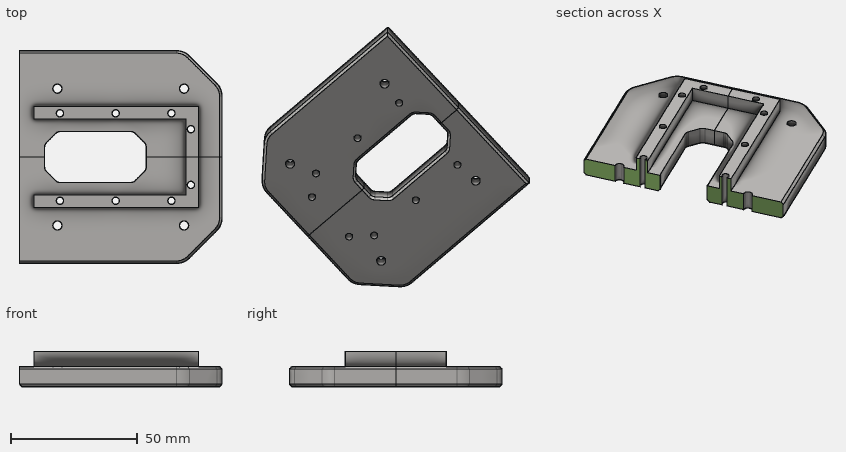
import cadquery as cq

plate_length = 80.0
plate_width = 84.0
plate_thickness = 8.0
corner_cut = 15.0
corner_radius = 7.0
edge_chamfer = 1.0

window_length = 40.0
window_width = 20.0
window_center_x = 30.0
window_corner_cut = 5.0
window_corner_radius = 2.5

rail_start_x = 5.7
rail_length = 65.0
rail_width = 40.0
rail_wall = 5.0
rail_height = 6.0

mount_hole_diameter = 3.5
mount_hole_xs = (15.0, 65.0)
mount_hole_y = 27.0

screw_hole_diameter = 2.75
screw_hole_pitch = 22.0
middle_screw_x = 38.0
arm_screw_y = 17.25
cross_screw_x = 67.7

total_height = plate_thickness + rail_height


def make_window():
    """Octagonal window cutter with softened corners."""
    return (
        cq.Workplane("XY")
        .center(window_center_x, 0)
        .rect(window_length, window_width)
        .extrude(plate_thickness)
        .edges("|Z")
        .chamfer(window_corner_cut)
        .edges("|Z")
        .fillet(window_corner_radius)
    )


def make_plate():
    """Plate with two cut and rounded corners, a window and chamfered rims."""
    plate = (
        cq.Workplane("XY")
        .box(plate_length, plate_width, plate_thickness, centered=(False, True, False))
        .edges("|Z and >X")
        .chamfer(corner_cut)
        .edges("|Z and (not <X)")
        .fillet(corner_radius)
    )
    plate = plate.faces(">Z").edges("not <X").chamfer(edge_chamfer)
    plate = plate.cut(make_window())
    return plate.faces("<Z").edges().chamfer(edge_chamfer)


def make_rail():
    """U of two arms and a cross bar at the +X end."""
    slot_width = rail_width - 2 * rail_wall
    outer = (
        cq.Workplane("XY", origin=(rail_start_x, 0, plate_thickness))
        .box(rail_length, rail_width, rail_height, centered=(False, True, False))
    )
    inner = (
        cq.Workplane("XY", origin=(rail_start_x, 0, plate_thickness))
        .box(rail_length - rail_wall, slot_width, rail_height, centered=(False, True, False))
    )
    return outer.cut(inner)


def make_holes(points, diameter):
    """Cylinders over the full height at the given points."""
    return cq.Workplane("XY").pushPoints(points).circle(diameter / 2).extrude(total_height)


def make_half(side):
    """Half of the base on one side of the Y = 0 joint; side is +1 or -1."""
    mount_points = [(x, side * mount_hole_y) for x in mount_hole_xs]
    screw_points = [(middle_screw_x + step * screw_hole_pitch, side * arm_screw_y) for step in (-1, 0, 1)]
    screw_points.append((cross_screw_x, side * screw_hole_pitch / 2))

    half_space = (
        cq.Workplane("XY", origin=(plate_length / 2, side * plate_width / 4, 0))
        .box(plate_length, plate_width / 2, total_height, centered=(True, True, False))
    )
    return (
        make_plate()
        .union(make_rail())
        .intersect(half_space)
        .cut(make_holes(mount_points, mount_hole_diameter))
        .cut(make_holes(screw_points, screw_hole_diameter))
    )


base_halves = [make_half(side) for side in (1, -1)]

result = cq.Compound.makeCompound([half.val() for half in base_halves])